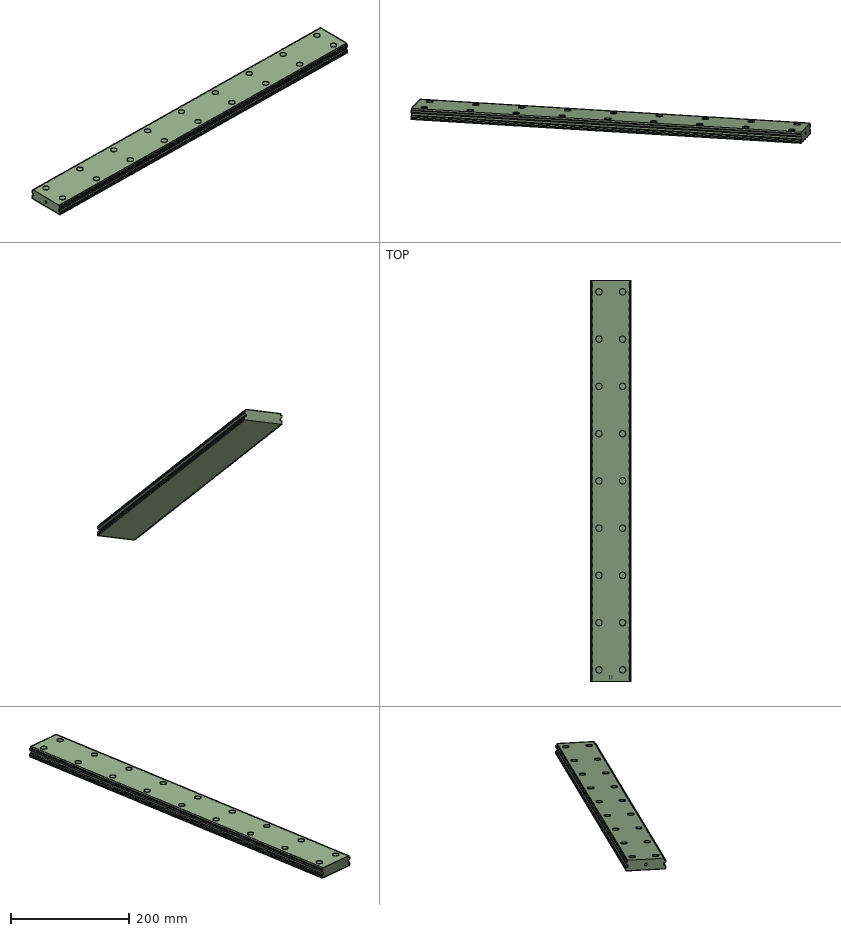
import cadquery as cq

LENGTH = 680.0
WIDTH = 69.0
HEIGHT = 19.0

FOOT_DRAFT = 1.0
DRAFT_TOP = 2.0
FOOT_SIDE_TOP = 4.0
FOOT_BEVEL = 1.0
FOOT_BEVEL_TOP = 6.0

NECK_INSET = 3.5
NECK_BOTTOM = 7.0
NECK_TOP = 10.0

LIP_BEVEL = 1.5
LIP_BEVEL_BOTTOM = 11.5
LIP_SIDE_BOTTOM = 13.0
LIP_SIDE_TOP = 15.5
NOTCH_ROOT_INSET = 2.0
NOTCH_ROOT_HEIGHT = 16.0
TOP_FACE_INSET = 3.0

RECESS_DIAMETER = 11.0
RECESS_DEPTH = 1.0
RECESS_ROWS = 9
RECESS_END_MARGIN = 20.0
RECESS_PITCH = (LENGTH - 2 * RECESS_END_MARGIN) / (RECESS_ROWS - 1)
RECESS_SPACING = 40.0

END_HOLE_DIAMETER = 4.0
END_HOLE_DEPTH = 13.5


def rail_body():
    """Grooved section, symmetric about X = 0, extruded along Y."""
    half_width = WIDTH / 2
    side_profile = [
        (FOOT_DRAFT, 0),
        (0, DRAFT_TOP),
        (0, FOOT_SIDE_TOP),
        (FOOT_BEVEL, FOOT_BEVEL_TOP),
        (NECK_INSET, NECK_BOTTOM),
        (NECK_INSET, NECK_TOP),
        (LIP_BEVEL, LIP_BEVEL_BOTTOM),
        (0, LIP_SIDE_BOTTOM),
        (0, LIP_SIDE_TOP),
        (NOTCH_ROOT_INSET, NOTCH_ROOT_HEIGHT),
        (TOP_FACE_INSET, HEIGHT),
    ]
    right_side = [(half_width - inset, z) for inset, z in side_profile]
    left_side = [(-x, z) for x, z in reversed(right_side)]
    section = cq.Workplane("XZ").polyline(right_side + left_side).close()
    return section.extrude(LENGTH / 2, both=True)


def top_recesses():
    """Two rows of round recesses, centred along the rail."""
    return (
        cq.Workplane("XY", origin=(0, 0, HEIGHT - RECESS_DEPTH))
        .rarray(RECESS_SPACING, RECESS_PITCH, 2, RECESS_ROWS)
        .circle(RECESS_DIAMETER / 2)
        .extrude(RECESS_DEPTH)
    )


def end_hole():
    """Blind hole at the middle of the -Y end face."""
    return (
        cq.Workplane("XZ", origin=(0, -LENGTH / 2, HEIGHT / 2))
        .circle(END_HOLE_DIAMETER / 2)
        .extrude(-END_HOLE_DEPTH)
    )


result = rail_body().cut(top_recesses()).cut(end_hole())